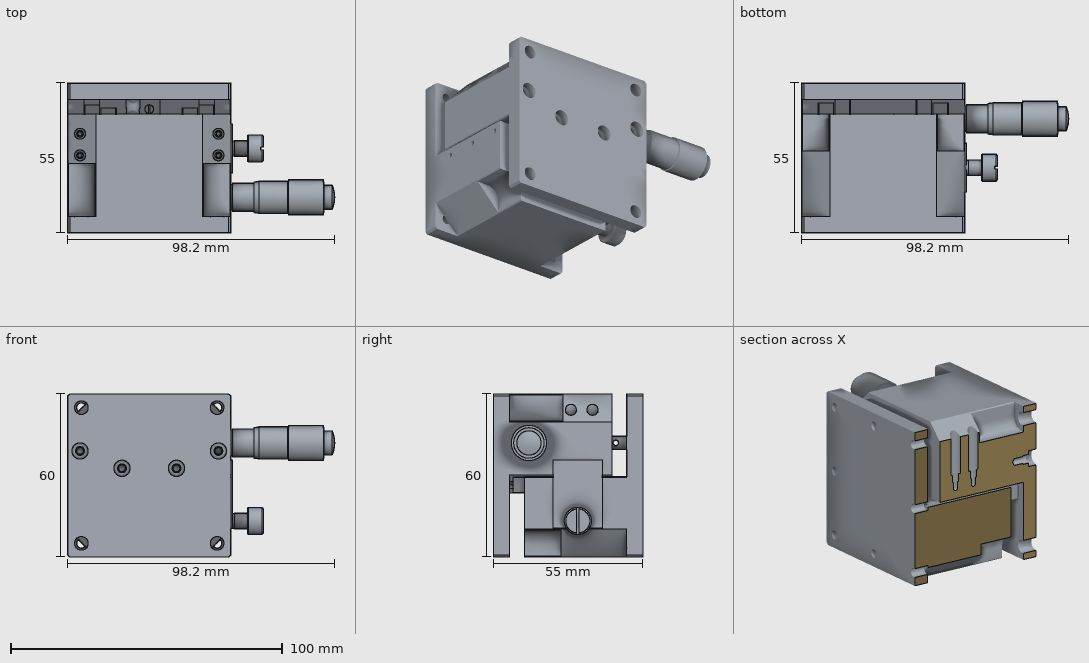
import cadquery as cq
import math


PLATE = 60.0
HALF = PLATE / 2
DEPTH = 55.0
BACK = DEPTH / 2
PLATE_T = 6.0
PLATE_INNER = BACK - PLATE_T
CORNER_CHAMFER = 0.8

BLOCK_GAP = 5.4
BLOCK_END = PLATE_INNER - BLOCK_GAP
UPPER_FACE = 0.2
LOWER_FACE = -0.4
BLOCK_CHAMFER = 10.4
EDGE_CHAMFER = 0.4

POCKET_LIP = 0.4
POCKET_R = 4.9
UPPER_POCKET_END = -2.0
LOWER_POCKET_END = -2.7

HOLE_PITCH = 25.0
FRONT_CORNER_HOLE_D = 5.0
BACK_HOLE_D = 3.4

BOLT_OUTER_X = 25.4
BOLT_OUTER_Z = 9.0
BOLT_INNER_X = 10.0
BOLT_INNER_Z = 2.7
BOLT_HEAD_D = 6.0
BOLT_HEAD_DEPTH = 3.4
BOLT_D = 3.2
BOLT_TAP_D = 2.5
BOLT_STEP_DEPTH = PLATE_T
BOLT_TAP_LENGTH = 3.9
DRILL_ANGLE = 118

RAIL_SCREW_X = 25.4
RAIL_SCREW_YS = (1.0, 8.9)
RAIL_HEAD_D = 4.0
RAIL_HEAD_FLOOR = 9.8
RAIL_SCREW_D = 2.5
RAIL_SCREW_STEP = 2.9
RAIL_TAP_D = 1.6
RAIL_TAP_LENGTH = 2.9

RAIL_W = 5.7
RAIL_TOP = -0.5
RAIL_BOTTOM = -6.5
RAIL_CHAMFER = 0.3
INNER_RAIL_X = 17.8
INNER_RAIL_START = -PLATE_INNER
INNER_RAIL_END = 18.5
OUTER_RAIL_X = 24.0
OUTER_RAIL_START = -20.2
OUTER_RAIL_END = 19.6
GROOVE_DEPTH = 1.3
RAIL_Z = (RAIL_TOP + RAIL_BOTTOM) / 2
TONGUE_X = INNER_RAIL_X - RAIL_W

CHANNEL_X = OUTER_RAIL_X - RAIL_W
CHANNEL_FLOOR = RAIL_BOTTOM - 1.0
RECESS_END_X = 3.9
RECESS_FLOOR = CHANNEL_FLOOR - 1.0

SET_SCREW_D = 2.0
SET_SCREW_PITCH = 13.0
SET_SCREW_DEPTH = 2.9

STOP_SCREW_D = 3.2
STOP_SCREW_Y = 18.0
STOP_SCREW_H = 1.5
STOP_SLOT_W = 0.6
STOP_SLOT_DEPTH = 0.6

DRIVE_Z = 12.0
POST_D = 5.0
POST_X = -6.0
POST_HOLE_D = 2.0
POST_HOLE_Y = 17.5

MICROMETER_Y = -14.4
SHANK_D = 9.5
SHANK_START_X = 20.0
MICROMETER_TIP_X = 98.25 - HALF
MICROMETER_SECTIONS = [
    (30.7, SHANK_D, SHANK_D),
    (38.5, 10.4, 10.4),
    (40.4, 11.3, 11.8),
    (50.9, 12.0, 12.0),
    (51.3, 11.7, 11.7),
    (64.1, 13.0, 13.0),
    (64.4, 11.2, 11.2),
    (67.3, 8.9, 8.9),
]

CLAMP_T = 0.7
CLAMP_W = 18.1
CLAMP_TOP = 5.7
CLAMP_BOTTOM = -19.4
KNOB_Y = 3.5
KNOB_Z = -16.7
KNOB_NECK_D = 5.6
KNOB_NECK_END_X = 31.3
KNOB_SHAFT_D = 5.8
KNOB_HEAD_D = 10.0
KNOB_HEAD_X = 36.1
KNOB_END_X = 42.1
KNOB_BACK_CHAMFER = 0.4
KNOB_END_CHAMFER = 0.6
KNOB_SLOT_W = 1.0
KNOB_SLOT_DEPTH = 1.0


def box(x0, x1, y0, y1, z0, z1):
    """Box between the given limits."""
    return cq.Workplane("XY").box(x1 - x0, y1 - y0, z1 - z0, centered=False).translate((x0, y0, z0))


def cylinder(start, direction, diameter, length):
    """Cylinder from the start point along a unit direction."""
    return cq.Workplane(cq.Solid.makeCylinder(diameter / 2, length, cq.Vector(*start), cq.Vector(*direction)))


def stepped_hole(start, direction, diameter, step_depth, tap_d, tap_length):
    """Hole that narrows at step_depth and ends in a drill point."""
    axis = cq.Vector(*direction)
    step = cq.Vector(*start) + axis * step_depth
    tip = step + axis * tap_length
    tip_length = tap_d / 2 / math.tan(math.radians(DRILL_ANGLE / 2))
    point = cq.Workplane(cq.Solid.makeCone(tap_d / 2, 0, tip_length, tip, axis))
    hole = cylinder(start, direction, diameter, step_depth)
    return hole.union(cylinder(step.toTuple(), direction, tap_d, tap_length)).union(point)


def both_sides(shape):
    """The shape together with its mirror image across the YZ plane."""
    return shape.union(shape.mirror("YZ"))


def end_plate(y0):
    plate = box(-HALF, HALF, y0, y0 + PLATE_T, -HALF, HALF)
    return plate.edges("|Y").chamfer(CORNER_CHAMFER)


def raised_block(y0, y1, inner_face, pocket_end):
    """Block from inner_face up, with chamfered outer edges pocketed from y0 to pocket_end."""
    block = box(-HALF, HALF, y0, y1, inner_face, HALF)
    block = block.edges("|Y and >Z").chamfer(BLOCK_CHAMFER)
    block = block.edges("|Y and <X and <Z").chamfer(EDGE_CHAMFER)
    wall_x = -HALF + BLOCK_CHAMFER - POCKET_LIP
    floor_z = HALF - BLOCK_CHAMFER + POCKET_LIP
    pocket = box(-PLATE, wall_x, y0, pocket_end, floor_z, PLATE)
    pocket = pocket.edges("|Y and >X and <Z").fillet(POCKET_R)
    return block.cut(pocket).cut(pocket.mirror("YZ"))


def rail(outer_x, y0, y1):
    """Plain rail on the -X side."""
    return box(-outer_x, -outer_x + RAIL_W, y0, y1, RAIL_BOTTOM, RAIL_TOP)


def inner_rails():
    """Rails with a roller groove in their outer sides."""
    bar = rail(INNER_RAIL_X, INNER_RAIL_START, INNER_RAIL_END).edges("|Y and >X").chamfer(RAIL_CHAMFER)
    groove = (
        cq.Workplane("XZ", origin=(-INNER_RAIL_X, INNER_RAIL_END, RAIL_Z))
        .polyline([(0, GROOVE_DEPTH), (GROOVE_DEPTH, 0), (0, -GROOVE_DEPTH)])
        .close()
        .extrude(INNER_RAIL_END - INNER_RAIL_START)
    )
    return both_sides(bar.cut(groove))


def cut_front_plate_holes(body):
    inward = (0, 1, 0)
    for side in (-1, 1):
        for z in (-HOLE_PITCH, HOLE_PITCH):
            corner = (side * HOLE_PITCH, -BACK, z)
            body = body.cut(cylinder(corner, inward, FRONT_CORNER_HOLE_D, PLATE_T))
        for x, z in ((BOLT_OUTER_X, BOLT_OUTER_Z), (BOLT_INNER_X, BOLT_INNER_Z)):
            start = (side * x, -BACK, z)
            body = body.cut(cylinder(start, inward, BOLT_HEAD_D, BOLT_HEAD_DEPTH))
            body = body.cut(
                stepped_hole(start, inward, BOLT_D, BOLT_STEP_DEPTH, BOLT_TAP_D, BOLT_TAP_LENGTH)
            )
    start = (BOLT_OUTER_X, -BACK, BOLT_OUTER_Z)
    return body.cut(cylinder(start, inward, BOLT_TAP_D, BACK + MICROMETER_Y))


def cut_rail_screw_holes(body):
    for x in (-RAIL_SCREW_X, RAIL_SCREW_X):
        for y in RAIL_SCREW_YS:
            seat = (x, y, RAIL_HEAD_FLOOR)
            body = body.cut(cylinder(seat, (0, 0, 1), RAIL_HEAD_D, HALF))
            body = body.cut(
                stepped_hole(seat, (0, 0, -1), RAIL_SCREW_D, RAIL_SCREW_STEP, RAIL_TAP_D, RAIL_TAP_LENGTH)
            )
    return body


def micrometer():
    """Turned micrometer head with a domed end, on an axis along X."""
    profile = cq.Workplane("XY").moveTo(SHANK_START_X, 0)
    start_x = SHANK_START_X
    for end_x, start_d, end_d in MICROMETER_SECTIONS:
        profile = profile.lineTo(start_x, start_d / 2).lineTo(end_x, end_d / 2)
        start_x = end_x
    dome_height = MICROMETER_TIP_X - start_x
    dome_edge_r = end_d / 2
    dome_r = (dome_edge_r**2 + dome_height**2) / (2 * dome_height)
    head = profile.radiusArc((MICROMETER_TIP_X, 0), dome_r).close().revolve(360, (0, 0), (1, 0))
    return head.translate((0, MICROMETER_Y, DRIVE_Z))


def make_front_slide():
    body = end_plate(-BACK)
    body = body.union(raised_block(-PLATE_INNER, BLOCK_END, UPPER_FACE, UPPER_POCKET_END))
    body = body.union(box(-INNER_RAIL_X, INNER_RAIL_X, -PLATE_INNER, BLOCK_END, RAIL_TOP, UPPER_FACE))
    body = body.union(box(-TONGUE_X, TONGUE_X, -PLATE_INNER, BLOCK_END, RAIL_BOTTOM, UPPER_FACE))
    body = body.union(inner_rails())
    body = cut_front_plate_holes(body)
    body = cut_rail_screw_holes(body)
    return body.union(micrometer())


def lower_block():
    """Upside-down block with the rail channel cut along its top."""
    block = raised_block(-BLOCK_END, PLATE_INNER, -LOWER_FACE, LOWER_POCKET_END)
    block = block.rotate((0, 0, 0), (0, 1, 0), 180)
    rail_seat = box(-OUTER_RAIL_X, OUTER_RAIL_X, -BLOCK_END, PLATE_INNER, RAIL_BOTTOM, LOWER_FACE)
    channel = box(-CHANNEL_X, CHANNEL_X, -BLOCK_END, PLATE_INNER, CHANNEL_FLOOR, LOWER_FACE)
    recess = box(-CHANNEL_X, RECESS_END_X, -BLOCK_END, PLATE_INNER, RECESS_FLOOR, LOWER_FACE)
    return block.cut(rail_seat).cut(channel).cut(recess)


def outer_rails():
    bar = rail(OUTER_RAIL_X, OUTER_RAIL_START, OUTER_RAIL_END)
    return both_sides(bar.edges("|Y and <X").chamfer(RAIL_CHAMFER))


def spring_post():
    """Post on the back plate with a cross hole near its end."""
    post = cylinder((POST_X, BLOCK_END, DRIVE_Z), (0, 1, 0), POST_D, BLOCK_GAP)
    hole_start = (POST_X - POST_D, POST_HOLE_Y, DRIVE_Z)
    return post.cut(cylinder(hole_start, (1, 0, 0), POST_HOLE_D, 2 * POST_D))


def stop_screw():
    """Slotted screw head standing in the channel recess."""
    head = cylinder((0, STOP_SCREW_Y, RECESS_FLOOR), (0, 0, 1), STOP_SCREW_D, STOP_SCREW_H)
    top = RECESS_FLOOR + STOP_SCREW_H
    y0 = STOP_SCREW_Y - STOP_SCREW_D
    y1 = STOP_SCREW_Y + STOP_SCREW_D
    return head.cut(box(-STOP_SLOT_W / 2, STOP_SLOT_W / 2, y0, y1, top - STOP_SLOT_DEPTH, top))


def clamp_knob():
    """Slotted knob on a shaft with a short neck."""
    along_x = (1, 0, 0)
    neck = cylinder((HALF, KNOB_Y, KNOB_Z), along_x, KNOB_NECK_D, KNOB_NECK_END_X - HALF)
    shaft_start = (KNOB_NECK_END_X, KNOB_Y, KNOB_Z)
    shaft = cylinder(shaft_start, along_x, KNOB_SHAFT_D, KNOB_HEAD_X - KNOB_NECK_END_X)
    head = cylinder((KNOB_HEAD_X, KNOB_Y, KNOB_Z), along_x, KNOB_HEAD_D, KNOB_END_X - KNOB_HEAD_X)
    head = head.faces("<X").edges().chamfer(KNOB_BACK_CHAMFER)
    head = head.faces(">X").edges().chamfer(KNOB_END_CHAMFER)
    slot_x = KNOB_END_X - KNOB_SLOT_DEPTH
    slot_y0 = KNOB_Y - KNOB_SLOT_W / 2
    slot = box(slot_x, KNOB_END_X, slot_y0, slot_y0 + KNOB_SLOT_W, KNOB_Z - KNOB_HEAD_D, KNOB_Z + KNOB_HEAD_D)
    return neck.union(shaft).union(head.cut(slot))


def cut_set_screw_holes(body):
    for row in (-1, 0, 1):
        start = (-HALF, row * SET_SCREW_PITCH, RAIL_Z)
        body = body.cut(cylinder(start, (1, 0, 0), SET_SCREW_D, SET_SCREW_DEPTH))
    return body


def cut_back_plate_holes(body):
    """Square ring of eight holes through the back plate."""
    for column in (-1, 0, 1):
        for row in (-1, 0, 1):
            if column == 0 and row == 0:
                continue
            start = (column * HOLE_PITCH, PLATE_INNER, row * HOLE_PITCH)
            body = body.cut(cylinder(start, (0, 1, 0), BACK_HOLE_D, PLATE_T))
    return body


def make_back_slide():
    body = end_plate(PLATE_INNER).union(lower_block()).union(outer_rails())
    body = cut_set_screw_holes(body)
    body = cut_back_plate_holes(body)
    clamp_y0 = KNOB_Y - CLAMP_W / 2
    clamp_plate = box(HALF, HALF + CLAMP_T, clamp_y0, clamp_y0 + CLAMP_W, CLAMP_BOTTOM, CLAMP_TOP)
    for part in (spring_post(), stop_screw(), clamp_plate, clamp_knob()):
        body = body.union(part)
    return body


front_slide = make_front_slide()
back_slide = make_back_slide()
result = cq.Compound.makeCompound([front_slide.solids().val(), back_slide.solids().val()])